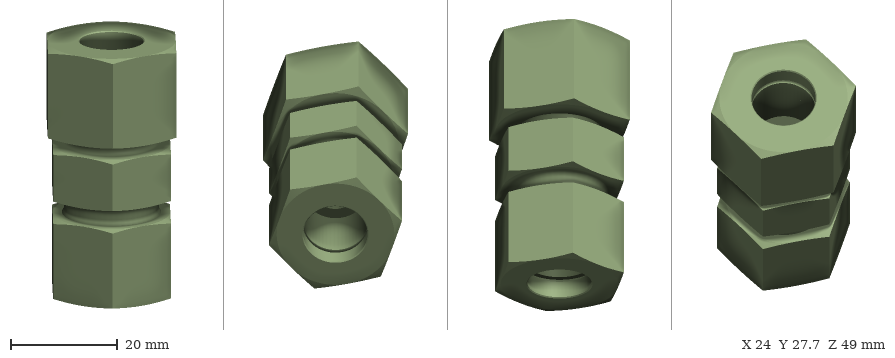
import cadquery as cq
import math


TOTAL_HEIGHT = 49.0
UPPER_NUT_HEIGHT = 17.5
LOWER_NUT_HEIGHT = 15.55
BODY_HEX_BOTTOM = 19.0
BODY_HEX_TOP = 29.0

UPPER_NUT_FLATS = 24.0
SMALL_HEX_FLATS = 22.0
HEX_HALF_SECTOR = 30.0
CORNER_CHAMFER_ANGLE = 15.0

FLOW_BORE = 8.0
TUBE_BORE = 12.0
TUBE_SEAT_DEPTH = 7.0
MOUTH_CHAMFER = 0.2

LIP_DEPTH = 3.4
RING_START = 4.35
RING_END = 9.0
RING_DIAMETER = 14.3

UPPER_THREAD = 18.0
UPPER_THREAD_MINOR = 16.35
UPPER_NECK = 15.7
UPPER_NECK_STRAIGHT = 1.35
LOWER_THREAD = 20.0
LOWER_THREAD_MINOR = 18.38
LOWER_NECK = 17.7
LOWER_NECK_STRAIGHT = 1.45
NECK_FILLET = 1.0
RUNOUT_ANGLE = 30.0


def cylinder(diameter, bottom, top):
    return cq.Workplane("XY").workplane(offset=bottom).circle(diameter / 2).extrude(top - bottom)


def chamfered_hex(across_flats, height):
    """Hexagon standing on z = 0, two corners on the Y axis, corners chamfered at both ends."""
    flat_radius = across_flats / 2
    corner_radius = flat_radius / math.cos(math.radians(HEX_HALF_SECTOR))
    corner_drop = (corner_radius - flat_radius) * math.tan(math.radians(CORNER_CHAMFER_ANGLE))
    prism = (
        cq.Workplane("XY")
        .polygon(6, 2 * corner_radius)
        .extrude(height)
        .rotate((0, 0, 0), (0, 0, 1), HEX_HALF_SECTOR)
    )
    chamfer_envelope = (
        cq.Workplane("XZ")
        .moveTo(0, 0)
        .lineTo(flat_radius, 0)
        .lineTo(corner_radius, corner_drop)
        .lineTo(corner_radius, height - corner_drop)
        .lineTo(flat_radius, height)
        .lineTo(0, height)
        .close()
        .revolve(360, (0, 0, 0), (0, 1, 0))
    )
    return prism.intersect(chamfer_envelope)


def flipped(shape):
    """Turn a shape upside down about the X axis."""
    return shape.rotate((0, 0, 0), (1, 0, 0), 180)


def stud(thread_diameter, neck_diameter, neck_straight, length):
    """Stud rising from a shoulder at z = 0: filleted neck, conical run-out, thread cylinder."""
    neck_radius = neck_diameter / 2
    thread_radius = thread_diameter / 2
    runout = math.radians(RUNOUT_ANGLE)
    straight_end = NECK_FILLET + neck_straight

    def upper_fillet_point(angle):
        return (
            neck_radius + NECK_FILLET * (1 - math.cos(angle)),
            straight_end + NECK_FILLET * math.sin(angle),
        )

    cone_start = upper_fillet_point(runout)
    cone_end_height = cone_start[1] + (thread_radius - cone_start[0]) / math.tan(runout)
    fillet_midpoint = (
        neck_radius + NECK_FILLET * (1 - math.sqrt(0.5)),
        NECK_FILLET * (1 - math.sqrt(0.5)),
    )
    return (
        cq.Workplane("XZ")
        .moveTo(0, 0)
        .lineTo(neck_radius + NECK_FILLET, 0)
        .threePointArc(fillet_midpoint, (neck_radius, NECK_FILLET))
        .lineTo(neck_radius, straight_end)
        .threePointArc(upper_fillet_point(runout / 2), cone_start)
        .lineTo(thread_radius, cone_end_height)
        .lineTo(thread_radius, length)
        .lineTo(0, length)
        .close()
        .revolve(360, (0, 0, 0), (0, 1, 0))
    )


def make_body():
    upper_end = TOTAL_HEIGHT - RING_END
    lower_end = RING_END
    hexagon = chamfered_hex(SMALL_HEX_FLATS, BODY_HEX_TOP - BODY_HEX_BOTTOM)
    upper_stud = stud(UPPER_THREAD, UPPER_NECK, UPPER_NECK_STRAIGHT, upper_end - BODY_HEX_TOP)
    lower_stud = stud(LOWER_THREAD, LOWER_NECK, LOWER_NECK_STRAIGHT, BODY_HEX_BOTTOM - lower_end)
    return (
        hexagon.translate((0, 0, BODY_HEX_BOTTOM))
        .union(upper_stud.translate((0, 0, BODY_HEX_TOP)))
        .union(flipped(lower_stud).translate((0, 0, BODY_HEX_BOTTOM)))
        .cut(cylinder(FLOW_BORE, lower_end, upper_end))
        .cut(cylinder(TUBE_BORE, upper_end - TUBE_SEAT_DEPTH, upper_end))
        .cut(cylinder(TUBE_BORE, lower_end, lower_end + TUBE_SEAT_DEPTH))
    )


def make_nut(across_flats, height, thread_minor):
    """Union nut with its outer face on z = 0 and its threaded end upward, bored to the thread minor."""
    mouth_chamfer = (
        cq.Workplane("XY")
        .circle(TUBE_BORE / 2 + MOUTH_CHAMFER)
        .workplane(offset=MOUTH_CHAMFER)
        .circle(TUBE_BORE / 2)
        .loft()
    )
    return (
        chamfered_hex(across_flats, height)
        .cut(cylinder(TUBE_BORE, 0, LIP_DEPTH))
        .cut(mouth_chamfer)
        .cut(cylinder(RING_DIAMETER, LIP_DEPTH, RING_END))
        .cut(cylinder(thread_minor, RING_END, height))
    )


def make_ring():
    """Cutting ring in the position it has in a nut whose outer face is on z = 0."""
    return cylinder(RING_DIAMETER, RING_START, RING_END).cut(cylinder(TUBE_BORE, RING_START, RING_END))


def at_top(shape):
    """Move a shape from the z = 0 end of the coupling to the top end."""
    return flipped(shape).translate((0, 0, TOTAL_HEIGHT))


body = make_body()

lower_nut = make_nut(SMALL_HEX_FLATS, LOWER_NUT_HEIGHT, LOWER_THREAD_MINOR).cut(body)
upper_nut = at_top(make_nut(UPPER_NUT_FLATS, UPPER_NUT_HEIGHT, UPPER_THREAD_MINOR)).cut(body)

rings = [placed.val() for placed in (make_ring(), at_top(make_ring()))]

result = cq.Compound.makeCompound([body.val(), lower_nut.val(), upper_nut.val(), *rings])